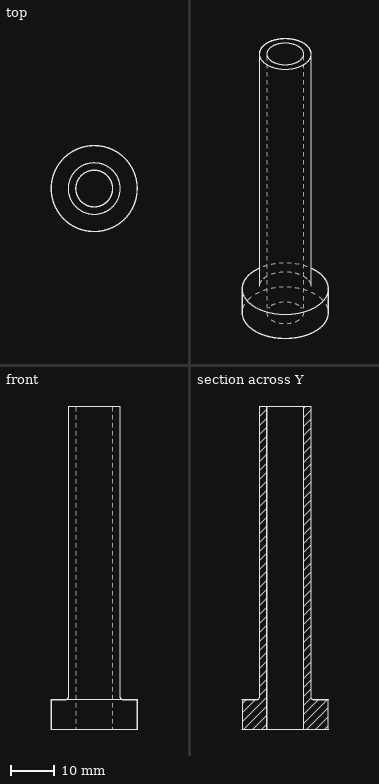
import cadquery as cq

total_length = 75.0
head_diameter = 20.0
head_height = 7.0
shank_diameter = 12.0
bore_diameter = 8.5
neck_fillet_radius = 0.75

head_radius = head_diameter / 2
shank_radius = shank_diameter / 2
bore_radius = bore_diameter / 2

half_section = (
    cq.Workplane("XZ")
    .moveTo(bore_radius, 0)
    .lineTo(head_radius, 0)
    .lineTo(head_radius, head_height)
    .lineTo(shank_radius + neck_fillet_radius, head_height)
    .radiusArc((shank_radius, head_height + neck_fillet_radius), neck_fillet_radius)
    .lineTo(shank_radius, total_length)
    .lineTo(bore_radius, total_length)
    .close()
)

result = half_section.revolve(360, (0, 0, 0), (0, 1, 0))